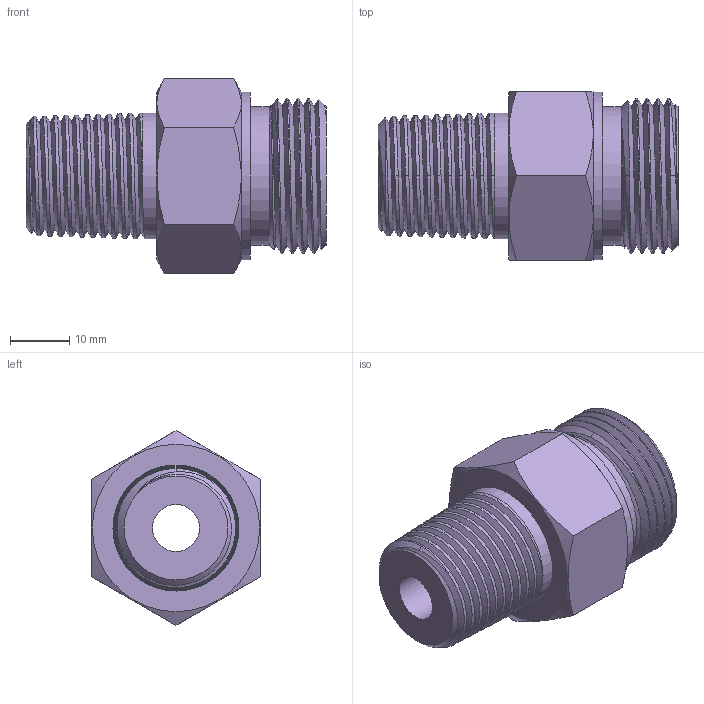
import cadquery as cq
import math

TOTAL_LENGTH = 50.8
TAPER_THREAD_END = 19.8
HEX_START = 22.1
HEX_LENGTH = 14.4
FLANGE_LENGTH = 1.5
NECK_LENGTH = 3.2
HEX_END = HEX_START + HEX_LENGTH
FLANGE_END = HEX_END + FLANGE_LENGTH
NECK_END = FLANGE_END + NECK_LENGTH

BORE_DIAMETER = 7.94
BORE_RADIUS = BORE_DIAMETER / 2
HEX_ACROSS_FLATS = 28.575
HEX_CORNER_RADIUS = HEX_ACROSS_FLATS / math.sqrt(3)
HEX_FACE_RADIUS = 14.17
HEX_CHAMFER_ANGLE = 30
FLANGE_RADIUS = 14.2
NECK_RADIUS = 11.7

TURNS_PER_INCH = 14
PITCH = 25.4 / TURNS_PER_INCH
GROOVE_HALF_ANGLE = 30
GROOVE_OVERCUT = 0.03

SHOULDER_DIAMETER = 21.336
SHOULDER_RADIUS = SHOULDER_DIAMETER / 2
TAPER_SLOPE = 1 / 32
TAPER_TIP_RADIUS = 8.78
TAPER_GROOVE_DEPTH = 1.1
TAPER_GROOVE_START = -1.4
TAPER_GROOVE_END = 19.6

STRAIGHT_DIAMETER = 26.3
STRAIGHT_RADIUS = STRAIGHT_DIAMETER / 2
STRAIGHT_GROOVE_DEPTH = 1.38
STRAIGHT_CHAMFER = STRAIGHT_RADIUS - NECK_RADIUS
STRAIGHT_GROOVE_START = 39.7
STRAIGHT_GROOVE_END = TOTAL_LENGTH + PITCH


def taper_radius(x):
    """Crest radius of the tapered thread at position x."""
    return SHOULDER_RADIUS - (TAPER_THREAD_END - x) * TAPER_SLOPE


def revolved(outline):
    """Solid of revolution about the X axis from (x, radius) points."""
    return cq.Workplane("XZ").polyline(outline).close().revolve(360, (0, 0, 0), (1, 0, 0))


def turned_body():
    """Tapered thread blank with a 45 degree tip chamfer, core of the hexagon, flange and neck."""
    tip_chamfer = (taper_radius(0) - TAPER_TIP_RADIUS) / (1 - TAPER_SLOPE)
    outline = [
        (0, BORE_RADIUS),
        (0, TAPER_TIP_RADIUS),
        (tip_chamfer, TAPER_TIP_RADIUS + tip_chamfer),
        (TAPER_THREAD_END, SHOULDER_RADIUS),
        (HEX_END, SHOULDER_RADIUS),
        (HEX_END, FLANGE_RADIUS),
        (FLANGE_END, FLANGE_RADIUS),
        (FLANGE_END, NECK_RADIUS),
        (NECK_END, NECK_RADIUS),
        (NECK_END, BORE_RADIUS),
    ]
    return revolved(outline)


def hexagon():
    """Hexagon with corners at +Z and -Z and conical chamfers on both ends."""
    prism = (
        cq.Workplane("YZ", origin=(HEX_START, 0, 0))
        .polygon(6, 2 * HEX_CORNER_RADIUS)
        .circle(BORE_RADIUS)
        .extrude(HEX_LENGTH)
        .rotate((0, 0, 0), (1, 0, 0), 90)
    )
    rise = HEX_CORNER_RADIUS - HEX_FACE_RADIUS
    chamfer_length = rise * math.tan(math.radians(HEX_CHAMFER_ANGLE))
    envelope = [
        (HEX_START, 0),
        (HEX_START, HEX_FACE_RADIUS),
        (HEX_START + chamfer_length, HEX_CORNER_RADIUS),
        (HEX_END - chamfer_length, HEX_CORNER_RADIUS),
        (HEX_END, HEX_FACE_RADIUS),
        (HEX_END, 0),
    ]
    return prism.intersect(revolved(envelope))


def thread_groove(start, end, root_radius, depth, slope):
    """V-shaped helical cutter along X, starting on the +Z side; slope is its radius growth per mm."""
    length = end - start
    if slope:
        helix = cq.Wire.makeHelix(PITCH, length, root_radius, angle=math.degrees(math.atan(slope)))
    else:
        helix = cq.Wire.makeHelix(PITCH, length, root_radius)
    height = depth + GROOVE_OVERCUT
    half_width = height * math.tan(math.radians(GROOVE_HALF_ANGLE))
    top_radius = root_radius + height
    profile = [
        (root_radius, 0),
        (top_radius, half_width),
        (top_radius, -half_width),
    ]
    cutter = cq.Workplane("XZ").polyline(profile).close().sweep(cq.Workplane(helix), isFrenet=True)
    placed = cq.Plane(origin=(start, 0, 0), xDir=(0, 0, 1), normal=(1, 0, 0))
    return cutter.val().moved(cq.Location(placed))


def tapered_end():
    """Turned body with the tapered thread cut into it."""
    root_radius = taper_radius(TAPER_GROOVE_START) - TAPER_GROOVE_DEPTH
    groove = thread_groove(
        TAPER_GROOVE_START, TAPER_GROOVE_END, root_radius, TAPER_GROOVE_DEPTH, TAPER_SLOPE
    )
    return turned_body().cut(groove)


def straight_end():
    """Straight threaded barrel; it is threaded before 45 degree chamfers trim both of its ends."""
    root_radius = STRAIGHT_RADIUS - STRAIGHT_GROOVE_DEPTH
    groove = thread_groove(
        STRAIGHT_GROOVE_START, STRAIGHT_GROOVE_END, root_radius, STRAIGHT_GROOVE_DEPTH, 0
    )
    barrel = (
        cq.Workplane("YZ", origin=(NECK_END, 0, 0))
        .circle(STRAIGHT_RADIUS)
        .circle(BORE_RADIUS)
        .extrude(TOTAL_LENGTH - NECK_END)
        .cut(groove)
    )
    envelope = [
        (NECK_END, 0),
        (NECK_END, NECK_RADIUS),
        (NECK_END + STRAIGHT_CHAMFER, STRAIGHT_RADIUS),
        (TOTAL_LENGTH - STRAIGHT_CHAMFER, STRAIGHT_RADIUS),
        (TOTAL_LENGTH, NECK_RADIUS),
        (TOTAL_LENGTH, 0),
    ]
    return barrel.intersect(revolved(envelope))


result = tapered_end().union(hexagon()).union(straight_end()).solids()